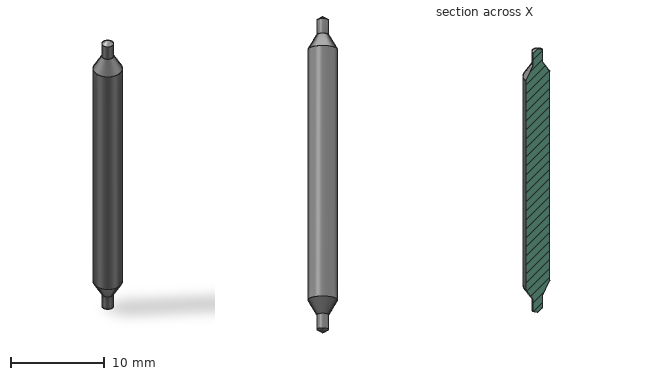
import cadquery as cq
import math

total_length = 35.0
body_diameter = 3.15
pilot_diameter = 1.25
pilot_length = 2.0
countersink_angle = 60.0
point_angle = 118.0

body_radius = body_diameter / 2
pilot_radius = pilot_diameter / 2
half_length = total_length / 2
point_height = pilot_radius / math.tan(math.radians(point_angle / 2))
countersink_height = (body_radius - pilot_radius) / math.tan(math.radians(countersink_angle / 2))

pilot_top = half_length - point_height
pilot_base = half_length - pilot_length
body_top = pilot_base - countersink_height

upper_points = [
    (0, half_length),
    (pilot_radius, pilot_top),
    (pilot_radius, pilot_base),
    (body_radius, body_top),
]
lower_points = [(radius, -height) for radius, height in reversed(upper_points)]

result = (
    cq.Workplane("XZ")
    .polyline(upper_points + lower_points)
    .close()
    .revolve(360, (0, 0, 0), (0, 1, 0))
)